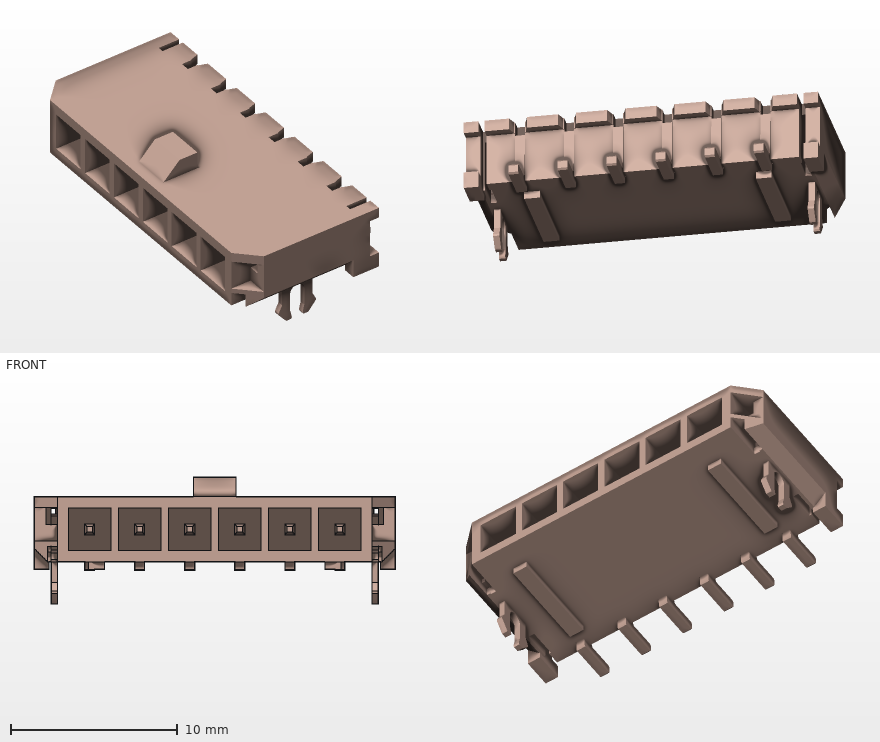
import cadquery as cq


width = 21.65
depth = 9.85
height = 3.92
corner_cut = 1.4
rear_wall_y = 9.2
lip_bottom_z = 3.2

pin_count = 6
pitch = 3.0
pin_z = 1.95
cavity_size = 2.55
cavity_depth = 6.93

ear_pocket_bottom_z = 1.25
ear_pocket_top_z = 3.27
window_bottom_z = 2.23
window_margin = 0.7
ear_bevel = 0.8
foot_width = 0.89
foot_front_y = 7.97
foot_top_z = 0.58
standoff_z = -0.45
rear_slot_width = 0.4
rear_slot_front_y = 8.35
entry_top_z = 0.93
entry_step_y = 1.95
entry_step_z = 0.58

rail_width = 0.95
rail_inset = 3.27
rail_front_y = 1.69
rail_rear_y = 7.69

latch_width = 2.55
latch_height = 1.17
latch_front_y = 0.78
latch_rear_y = 3.27
latch_fillet = 0.25

pin_width = 0.6
pin_thickness = 0.65
pin_tip_size = 0.32
pin_taper = 0.55
pin_tip_y = 2.6
pin_end_y = 11.35
leg_top_z = 3.0
leg_front_y = 8.64
leg_lean = 0.06
leg_bend_reach = 0.2
leg_bend_height = 0.74
leg_bend_radius = 1.3
heel_chamfer = 0.06
tail_bottom_z = -0.52
tail_end_chamfer = 0.1
leg_slot_front_y = 8.55
notch_mouth_width = 1.1
notch_inner_width = 0.71
notch_inner_y = 9.27

clip_thickness = 0.4
clip_center_y = 4.57
clip_top_z = 2.88
clip_top_chamfer = 0.13
clip_plate_half = 1.95
clip_shoulder_half = 2.08
shoulder_ramp_top_z = 0.71
shoulder_top_z = 0.52
shoulder_chamfer_z = 0.13
shoulder_chamfer_width = 0.06
clip_leg_half = 1.1
clip_barb_half = 1.36
barb_start_z = -1.23
barb_top_z = -1.75
barb_bottom_z = -1.88
clip_gap_radius = 0.52
clip_gap_center_z = -0.65
clip_bottom_z = -2.53
leg_tip_outer_half = 0.8
leg_tip_inner_half = 0.4
leg_tip_chamfer = 0.06
leg_tip_inner_chamfer_height = 0.1

half_width = width / 2
ear_inner_x = half_width - corner_cut
clip_front_y = clip_center_y - clip_shoulder_half
pin_positions = [(i - (pin_count - 1) / 2) * pitch for i in range(pin_count)]


def block(x_range, y_range, z_range):
    """Box given by its two limits on each axis."""
    (x0, x1), (y0, y1), (z0, z1) = x_range, y_range, z_range
    return cq.Workplane("XY").box(x1 - x0, y1 - y0, z1 - z0, centered=False).translate((x0, y0, z0))


def both_sides(shape):
    """The shape on the +X side together with its mirror image on the -X side."""
    return shape.union(shape.mirror("YZ"))


def make_shell():
    """Outer block with cut front corners, bevelled lower edges, feet and the rear recess."""
    shell = block((-half_width, half_width), (0, depth), (0, height)).edges("|Z and <Y").chamfer(corner_cut)
    bevel = (
        cq.Workplane("XZ")
        .polyline([(half_width, ear_bevel), (half_width, 0), (half_width - ear_bevel, 0)])
        .close()
        .extrude(-foot_front_y)
    )
    recess = block((-half_width, half_width), (rear_wall_y, depth), (0, lip_bottom_z))
    foot = block((half_width - foot_width, half_width), (foot_front_y, depth), (standoff_z, foot_top_z))
    return shell.cut(both_sides(bevel)).cut(recess).union(both_sides(foot))


def make_rails():
    """Two rails under the outer cavities."""
    rail_outer_x = half_width - rail_inset
    rail = block((rail_outer_x - rail_width, rail_outer_x), (rail_front_y, rail_rear_y), (standoff_z, 0))
    return both_sides(rail)


def make_latch():
    """Latch ramp on the roof, with a fillet at the foot of its rear face."""
    top_z = height + latch_height
    return (
        cq.Workplane("YZ")
        .moveTo(latch_front_y, height)
        .lineTo(latch_front_y + latch_height, top_z)
        .lineTo(latch_rear_y, top_z)
        .lineTo(latch_rear_y, height + latch_fillet)
        .radiusArc((latch_rear_y + latch_fillet, height), -latch_fillet)
        .close()
        .extrude(latch_width / 2, both=True)
    )


def make_ear_openings():
    """Corner pocket, window, clip cavity, rear slot and lower entry of both ears."""
    pocket_z = (ear_pocket_bottom_z, ear_pocket_top_z)
    pocket = block((ear_inner_x, half_width), (0, corner_cut), pocket_z)
    window = block(
        (ear_inner_x, half_width - window_margin), (0, clip_front_y), (window_bottom_z, ear_pocket_top_z)
    )
    clip_x = (ear_inner_x, ear_inner_x + clip_thickness)
    clip_cavity = block(clip_x, (clip_front_y, rear_slot_front_y), (0, lip_bottom_z))
    cavity_mouth = block(clip_x, (entry_step_y, clip_front_y), (0, entry_top_z))
    slot_outer_x = half_width - foot_width
    rear_slot = block((slot_outer_x - rear_slot_width, slot_outer_x), (rear_slot_front_y, depth), (0, height))
    entry_x = (ear_inner_x, half_width - ear_bevel)
    entry = block(entry_x, (0, entry_step_y), (0, entry_top_z))
    entry_step = block(entry_x, (entry_step_y, clip_front_y), (0, entry_step_z))
    openings = pocket
    for opening in (window, clip_cavity, cavity_mouth, rear_slot, entry, entry_step):
        openings = openings.union(opening)
    return both_sides(openings)


def make_pin_openings(x):
    """Mating cavity, shaft hole, leg slot and flared lip notch for the pin at x."""
    half_cavity = cavity_size / 2
    half_pin = pin_width / 2
    half_shaft = pin_thickness / 2
    cavity = block((-half_cavity, half_cavity), (0, cavity_depth), (pin_z - half_cavity, pin_z + half_cavity))
    shaft_hole = block(
        (-half_pin, half_pin), (cavity_depth, leg_slot_front_y), (pin_z - half_shaft, pin_z + half_shaft)
    )
    leg_slot = block((-half_pin, half_pin), (leg_slot_front_y, depth), (0, height))
    notch = (
        cq.Workplane("XY")
        .polyline([
            (-notch_inner_width / 2, notch_inner_y),
            (notch_inner_width / 2, notch_inner_y),
            (notch_mouth_width / 2, depth),
            (-notch_mouth_width / 2, depth),
        ])
        .close()
        .extrude(height)
    )
    return cavity.union(shaft_hole).union(leg_slot).union(notch).translate((x, 0, 0))


def make_housing():
    """Shell with rails and latch, opened for the clips and for every pin."""
    housing = make_shell().union(make_rails()).union(make_latch()).cut(make_ear_openings())
    for x in pin_positions:
        housing = housing.cut(make_pin_openings(x))
    return housing


def make_pin(x):
    """Square pin: tapered tip, straight shaft, leaning leg and solder tail."""
    shaft_start_y = pin_tip_y + pin_taper
    tip = (
        cq.Workplane("XZ", origin=(0, pin_tip_y, pin_z))
        .rect(pin_tip_size, pin_tip_size)
        .workplane(offset=-pin_taper)
        .rect(pin_width, pin_thickness)
        .loft()
    )
    shaft_half = pin_thickness / 2
    shaft = block(
        (-pin_width / 2, pin_width / 2),
        (shaft_start_y, leg_front_y + pin_thickness / 2),
        (pin_z - shaft_half, pin_z + shaft_half),
    )
    tail_top_z = tail_bottom_z + pin_thickness
    leg_rear_y = leg_front_y + pin_thickness
    heel_y = leg_front_y + leg_lean
    bend_y = leg_rear_y + leg_lean
    leg_and_tail = (
        cq.Workplane("YZ")
        .moveTo(leg_front_y, leg_top_z)
        .lineTo(leg_rear_y, leg_top_z)
        .lineTo(bend_y, tail_top_z + leg_bend_height)
        .radiusArc((bend_y + leg_bend_reach, tail_top_z), -leg_bend_radius)
        .lineTo(pin_end_y - tail_end_chamfer, tail_top_z)
        .lineTo(pin_end_y, tail_top_z - tail_end_chamfer)
        .lineTo(pin_end_y, tail_bottom_z + tail_end_chamfer)
        .lineTo(pin_end_y - tail_end_chamfer, tail_bottom_z)
        .lineTo(heel_y + heel_chamfer, tail_bottom_z)
        .lineTo(heel_y, tail_bottom_z + heel_chamfer)
        .close()
        .extrude(pin_width / 2, both=True)
    )
    return tip.union(shaft).union(leg_and_tail).translate((x, 0, 0))


def make_clip(x):
    """Flat clip from x to x + clip_thickness: a plate with shoulders and two barbed legs around a round gap."""
    half_outline = [
        (clip_plate_half - clip_top_chamfer, clip_top_z),
        (clip_plate_half, clip_top_z - clip_top_chamfer),
        (clip_plate_half, shoulder_ramp_top_z),
        (clip_shoulder_half, shoulder_top_z),
        (clip_shoulder_half, shoulder_chamfer_z),
        (clip_shoulder_half - shoulder_chamfer_width, 0),
        (clip_leg_half, 0),
        (clip_leg_half, barb_start_z),
        (clip_barb_half, barb_top_z),
        (clip_barb_half, barb_bottom_z),
        (leg_tip_outer_half + leg_tip_chamfer, clip_bottom_z + leg_tip_chamfer),
        (leg_tip_outer_half, clip_bottom_z),
        (leg_tip_inner_half + leg_tip_chamfer, clip_bottom_z),
        (leg_tip_inner_half, clip_bottom_z + leg_tip_inner_chamfer_height),
        (clip_gap_radius, barb_bottom_z),
        (clip_gap_radius, clip_gap_center_z),
    ]
    front_half = [(clip_center_y - offset, z) for offset, z in half_outline]
    rear_half = [(clip_center_y + offset, z) for offset, z in reversed(half_outline)]
    gap_top = (clip_center_y, clip_gap_center_z + clip_gap_radius)
    return (
        cq.Workplane("YZ", origin=(x, 0, 0))
        .polyline(front_half)
        .threePointArc(gap_top, rear_half[0])
        .polyline(rear_half, includeCurrent=False)
        .close()
        .extrude(clip_thickness)
    )


housing = make_housing()
pins = [make_pin(x) for x in pin_positions]
clips = [make_clip(x) for x in (ear_inner_x, -ear_inner_x - clip_thickness)]

result = cq.Compound.makeCompound([
    housing.val(),
    *[pin.val() for pin in pins],
    *[clip.val() for clip in clips],
])